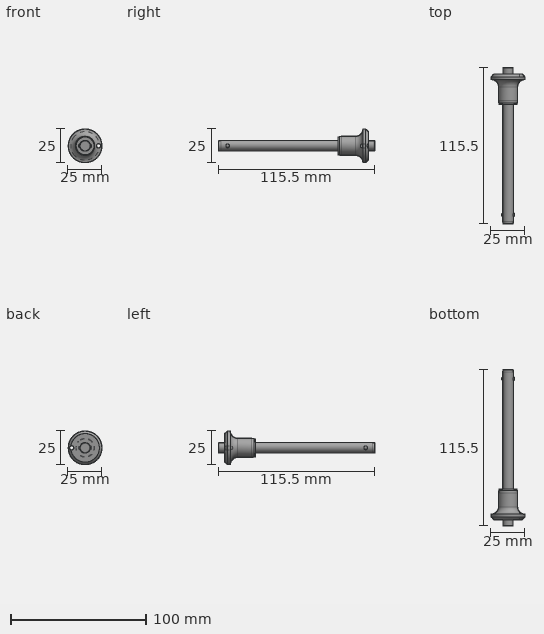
import cadquery as cq
import math

total_length = 115.5

handle_length = 22.6
flange_diameter = 25.0
flange_thickness = 4.2
flange_chamfer_width = 1.95
flange_chamfer_length = 2.15
body_radius = 7.1
flare_radius = flange_diameter / 2 - body_radius

taper_length = 2.8
step_position = 1.1
step_radius = 6.9
collar_radius = 6.75
nose_radius = 6.6

button_diameter = 7.6
button_length = 4.6
button_fillet = 0.4

shank_diameter = 8.0
shank_length = total_length - handle_length - button_length
tip_length = 1.8
tip_radius = 3.75

ball_radius = 1.5
ball_span = 9.7
ball_from_tip = 6.75

lanyard_hole_diameter = 3.0
lanyard_hole_offset = 10.0


def make_handle():
    """Turned handle: stepped nose, straight body, concave flare and chamfered flange."""
    flange_radius = flange_diameter / 2
    flange_front = handle_length - flange_thickness
    flare_start = flange_front - flare_radius
    diagonal = flare_radius * math.sqrt(0.5)
    flare_middle = (flange_radius - diagonal, flare_start + diagonal)
    return (
        cq.Workplane("XY")
        .moveTo(0, 0)
        .lineTo(nose_radius, 0)
        .lineTo(collar_radius, step_position)
        .lineTo(step_radius, step_position)
        .lineTo(body_radius, taper_length)
        .lineTo(body_radius, flare_start)
        .threePointArc(flare_middle, (flange_radius, flange_front))
        .lineTo(flange_radius, handle_length - flange_chamfer_length)
        .lineTo(flange_radius - flange_chamfer_width, handle_length)
        .lineTo(0, handle_length)
        .close()
        .revolve(360, (0, 0, 0), (0, 1, 0))
    )


def make_shank():
    """Straight shank with a long, shallow taper at the tip."""
    shank_radius = shank_diameter / 2
    return (
        cq.Workplane("XY")
        .moveTo(0, 0)
        .lineTo(shank_radius, 0)
        .lineTo(shank_radius, tip_length - shank_length)
        .lineTo(tip_radius, -shank_length)
        .lineTo(0, -shank_length)
        .close()
        .revolve(360, (0, 0, 0), (0, 1, 0))
    )


def make_button():
    """Round push button with a rounded outer edge."""
    return (
        cq.Workplane("XZ", origin=(0, handle_length, 0))
        .circle(button_diameter / 2)
        .extrude(-button_length)
        .faces(">Y")
        .fillet(button_fillet)
    )


def make_ball(side):
    """Locking ball on the +X (side = 1) or -X (side = -1) side of the shank."""
    ball_offset = ball_span / 2 - ball_radius
    ball_y = ball_from_tip - shank_length
    return cq.Workplane("XY").sphere(ball_radius).translate((side * ball_offset, ball_y, 0))


def make_lanyard_hole():
    """Cutter for the hole through the flange, parallel to the pin axis."""
    return (
        cq.Workplane("XZ")
        .center(lanyard_hole_offset, 0)
        .circle(lanyard_hole_diameter / 2)
        .extrude(-handle_length)
    )


handle = make_handle().cut(make_lanyard_hole())
result = handle.union(make_shank()).union(make_button())
for side in (-1, 1):
    result = result.union(make_ball(side))